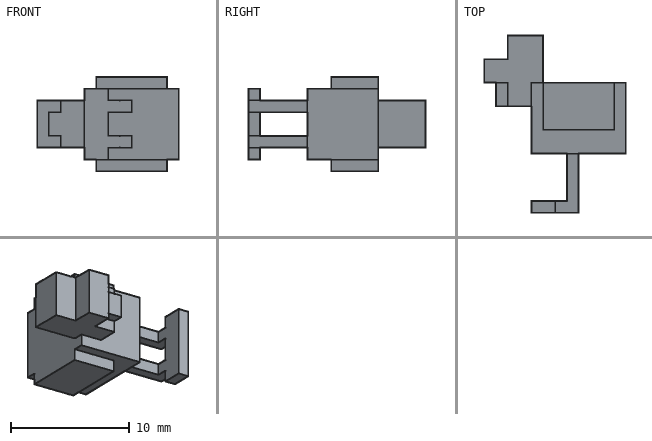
import cadquery as cq

LENGTH = 15.0
GRID_CELLS_LONG = 15
CELL = LENGTH / GRID_CELLS_LONG


def block(x_range, y_range, z_range):
    """Box between the given (start, end) grid positions along each axis."""
    ranges = (x_range, y_range, z_range)
    size = [(end - start) * CELL for start, end in ranges]
    corner = tuple(start * CELL for start, end in ranges)
    return cq.Workplane("XY").box(*size, centered=False).translate(corner)


body_z = (1, 7)
body = block((4, 12), (5, 11), body_z)

head_z = (2, 6)
head = block((2, 5), (9, 15), head_z)
beak = block((0, 2), (11, 13), head_z)
wattle = block((1, 2), (9, 11), (3, 5))

result = body.union(head).union(beak).union(wattle)

for wing_z in ((0, 1), (7, 8)):
    result = result.union(block((5, 11), (7, 11), wing_z))

foot_y = (0, 1)
for leg_z in ((2, 3), (5, 6)):
    shank = block((7, 8), (0, 5), leg_z)
    foot = block((6, 8), foot_y, leg_z)
    result = result.union(shank).union(foot)

toes = block((4, 6), foot_y, body_z)
result = result.union(toes)